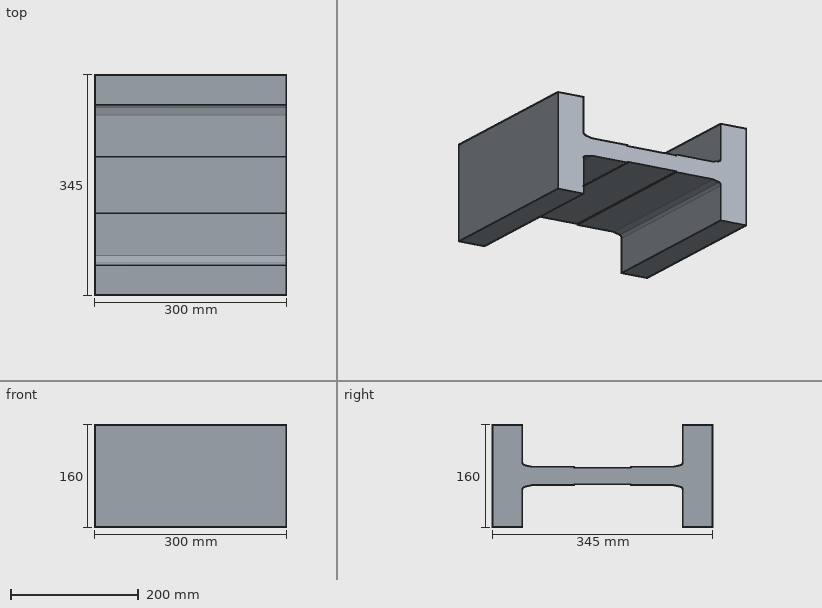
import cadquery as cq

length = 300.0
width = 345.0
height = 160.0

flange_thickness = 47.0
center_web_thickness = 26.2
outer_web_thickness = 29.0
center_web_width = 89.0

slope_run = 15.2
slope_rise = 3.5
root_radius = 5.0

flange_face = width / 2 - flange_thickness
slope_start = flange_face - slope_run
outer_half = outer_web_thickness / 2
slope_top = outer_half + slope_rise


def centered_box(y_size, z_size):
    return cq.Workplane("XY").box(length, y_size, z_size)


def make_flange(side):
    y_center = side * (width - flange_thickness) / 2
    return centered_box(flange_thickness, height).translate((0, y_center, 0))


def make_outer_web(side):
    """Thicker web between the central strip and a flange, flaring at the flange."""
    points = [
        (side * center_web_width / 2, outer_half),
        (side * slope_start, outer_half),
        (side * flange_face, slope_top),
        (side * flange_face, -slope_top),
        (side * slope_start, -outer_half),
        (side * center_web_width / 2, -outer_half),
    ]
    return cq.Workplane("YZ").polyline(points).close().extrude(length / 2, both=True)


def round_roots(body):
    """Round the four inner corners where the slopes meet the flanges."""
    corners = [(0, y, z) for y in (-flange_face, flange_face) for z in (-slope_top, slope_top)]
    for corner in corners:
        root_edge = cq.selectors.NearestToPointSelector(corner)
        body = body.edges("|X").edges(root_edge).fillet(root_radius)
    return body


body = centered_box(center_web_width, center_web_thickness)
for side in (-1, 1):
    body = body.union(make_outer_web(side)).union(make_flange(side))

result = round_roots(body)